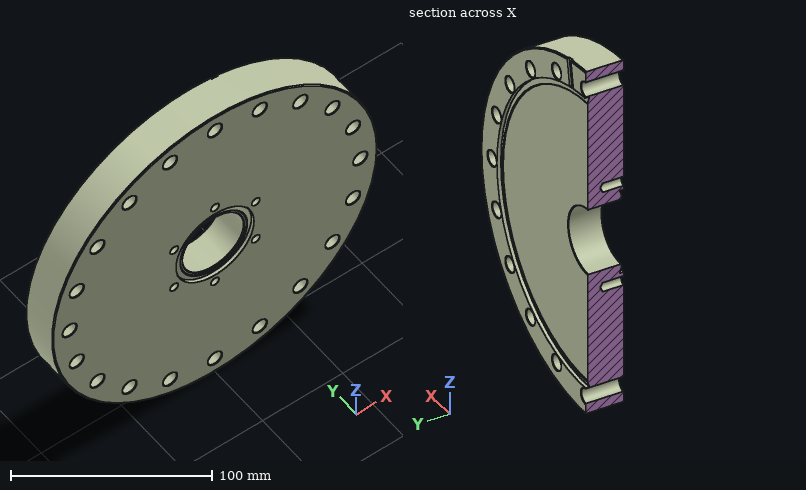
import cadquery as cq
import math

disc_diameter = 202.5
thickness = 22.3
rim_chamfer = 0.6
front_y = -thickness / 2
back_y = thickness / 2

bolt_count = 20
bolt_circle_diameter = 181.0
bolt_hole_diameter = 8.5
bolt_hole_chamfer = 0.3

bore_diameter = 38.0
bore_chamfer = 0.3

front_seal_diameter = 48.5
back_seal_diameter = 171.2
seal_depth = 2.2
knife_diameter_step = 6.7
knife_tip_depth = 1.0
knife_flank_width = 0.5
land_depth = 1.5

tapped_count = 6
tapped_circle_diameter = 58.7
tapped_hole_diameter = 5.0
tapped_depth = 12.1
drill_point_angle = 118.0

groove_width = 3.6
groove_depth = 1.2
groove_length = (disc_diameter - back_seal_diameter) / 2
groove_angle = 180.0 / bolt_count


def seal_points(seal_diameter):
    """Half section of one seal as (radius, depth below the face), from the bore outwards."""
    seal_radius = seal_diameter / 2
    bore_radius = bore_diameter / 2
    knife_radius = seal_radius - knife_diameter_step / 2
    return [
        (bore_radius, land_depth + bore_chamfer),
        (bore_radius + bore_chamfer, land_depth),
        (knife_radius - knife_flank_width, land_depth),
        (knife_radius, knife_tip_depth),
        (seal_radius, seal_depth),
        (seal_radius, 0),
    ]


def flange_body():
    """Disc with its bore, both seals and the rim chamfers, turned around the Y axis."""
    rim_radius = disc_diameter / 2
    rim_points = [(rim_radius - rim_chamfer, 0), (rim_radius, rim_chamfer)]
    front_side = seal_points(front_seal_diameter) + rim_points
    back_side = seal_points(back_seal_diameter) + rim_points
    outline = [(radius, front_y + depth) for radius, depth in front_side]
    outline += [(radius, back_y - depth) for radius, depth in reversed(back_side)]
    return cq.Workplane("XY").polyline(outline).close().revolve(360, (0, 0, 0), (0, 1, 0))


def on_circle(cutter, count, circle_diameter):
    """Copies of a cutter around the Y axis, the first one straight up."""
    first = cutter.translate((0, 0, circle_diameter / 2))
    ring = cq.Workplane("XY")
    for index in range(count):
        ring = ring.add(first.rotate((0, 0, 0), (0, 1, 0), index * 360.0 / count))
    return ring.combine()


def bolt_hole():
    """Through hole with a chamfer at both ends."""
    radius = bolt_hole_diameter / 2
    mouth_radius = radius + bolt_hole_chamfer
    return (
        cq.Workplane("XY")
        .moveTo(0, front_y)
        .lineTo(mouth_radius, front_y)
        .lineTo(radius, front_y + bolt_hole_chamfer)
        .lineTo(radius, back_y - bolt_hole_chamfer)
        .lineTo(mouth_radius, back_y)
        .lineTo(0, back_y)
        .close()
        .revolve(360, (0, 0, 0), (0, 1, 0))
    )


def tapped_hole():
    """Blind hole with a conical drill point."""
    radius = tapped_hole_diameter / 2
    point_length = radius / math.tan(math.radians(drill_point_angle / 2))
    return (
        cq.Workplane("XY")
        .moveTo(0, front_y)
        .lineTo(radius, front_y)
        .lineTo(radius, front_y + tapped_depth)
        .lineTo(0, front_y + tapped_depth + point_length)
        .close()
        .revolve(360, (0, 0, 0), (0, 1, 0))
    )


def leak_groove():
    """Radial groove in the back face, from the rim to the seal."""
    return (
        cq.Workplane("XY")
        .box(groove_width, groove_depth, groove_length)
        .translate((0, back_y - groove_depth / 2, (disc_diameter - groove_length) / 2))
        .rotate((0, 0, 0), (0, 1, 0), groove_angle)
    )


flange = flange_body()
flange = flange.cut(on_circle(bolt_hole(), bolt_count, bolt_circle_diameter))
flange = flange.cut(on_circle(tapped_hole(), tapped_count, tapped_circle_diameter))
result = flange.cut(leak_groove())